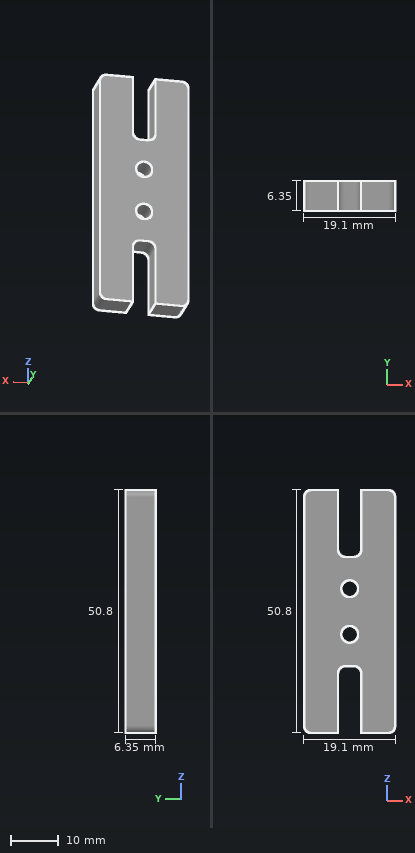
import cadquery as cq

INCH = 25.4
width = 0.75 * INCH
thickness = 0.25 * INCH
height = 2.0 * INCH
corner_radius = 1.5

slot_width = 4.8
slot_depth = 13.97
slot_corner_radius = 1.5

hole_diameter = 3.4544
hole_spacing = 9.525


def make_plate():
    """Flat bar with its four outer corners rounded."""
    plate = cq.Workplane("XY").box(width, thickness, height)
    return plate.edges("|Y").fillet(corner_radius)


def make_slot(end):
    """Cutter for a slot open at the top (end = 1) or bottom (end = -1), with rounded inner corners."""
    inner_edges = "|Y and <Z" if end > 0 else "|Y and >Z"
    slot = cq.Workplane("XY").box(slot_width, thickness, slot_depth)
    slot = slot.edges(inner_edges).fillet(slot_corner_radius)
    return slot.translate((0, 0, end * (height - slot_depth) / 2))


def make_holes():
    """Cutter for the pair of holes through the thickness."""
    return (
        cq.Workplane("XZ")
        .pushPoints([(0, -hole_spacing / 2), (0, hole_spacing / 2)])
        .circle(hole_diameter / 2)
        .extrude(thickness / 2, both=True)
    )


result = make_plate()
for slot_end in (1, -1):
    result = result.cut(make_slot(slot_end))
result = result.cut(make_holes())